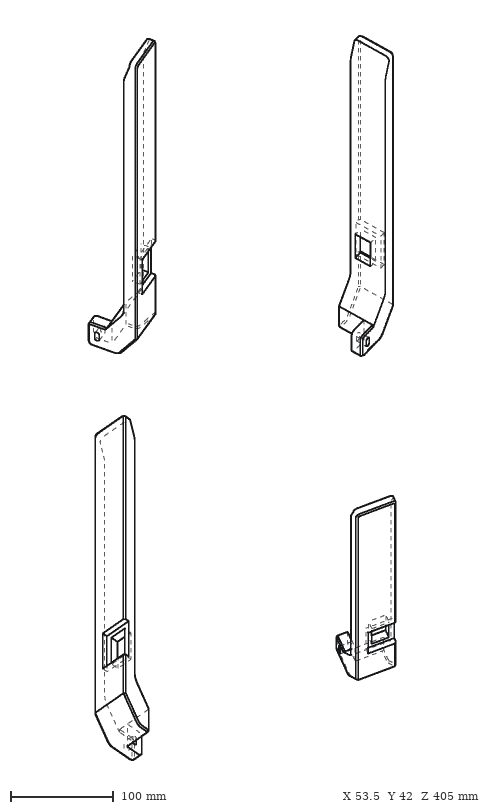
import cadquery as cq
import math

length_x = 53.5
width_y = 42.0
height_z = 405.0

plate_thickness = 14.0
tip_thickness = 8.0
taper_start_z = 380.3
tip_corner_radius = 5.0

foot_front_x = 20.2
foot_height = 30.5
crank_angle = 56.3
heel_z = 30.0
heel_radius = 9.0
bend_radius = 20.2

tab_width = 12.0
tab_corner_radius = 5.0
slot_center_x = 10.0
slot_center_z = 15.5
slot_width = 5.0
slot_length = 11.5

window_min_y = 18.2
window_width = 18.2
window_min_z = 88.3
window_height = 35.2

web_thickness = 8.5
recess_margin = 6.0

edge_chamfer = 1.5

plate_front_x = length_x - plate_thickness
tip_front_x = length_x - tip_thickness
taper_end_z = height_z - tip_corner_radius
crank_slope = math.tan(math.radians(crank_angle))
bend_z = foot_height + (plate_front_x - foot_front_x) * crank_slope
heel_bottom_x = length_x - heel_z / crank_slope


def edge_at(x, z):
    """Select the Y-direction edge that passes near (x, z)."""
    reach = 0.5
    return cq.selectors.BoxSelector((x - reach, -4, z - reach), (x + reach, width_y + 4, z + reach))


def extrude_profile(points, depth):
    """Extrude an XZ outline from y = 0 toward +Y."""
    return cq.Workplane("XZ").polyline(points).close().extrude(-depth)


def make_lever():
    """Plate and cranked foot, with rounded bends and tip corners."""
    outline = [
        (foot_front_x, 0),
        (heel_bottom_x, 0),
        (length_x, heel_z),
        (length_x, height_z),
        (tip_front_x, height_z),
        (tip_front_x, taper_end_z),
        (plate_front_x, taper_start_z),
        (plate_front_x, bend_z),
        (foot_front_x, foot_height),
    ]
    lever = extrude_profile(outline, width_y)
    for bend in ((plate_front_x, taper_start_z), (plate_front_x, bend_z)):
        lever = lever.edges(edge_at(*bend)).fillet(bend_radius)
    lever = lever.edges(edge_at(heel_bottom_x, 0)).fillet(heel_radius)
    return lever.faces(">Z").edges("|X").fillet(tip_corner_radius)


def make_tab():
    """Tab with rounded free corners, running into the foot."""
    tab = cq.Workplane("XY").box(foot_front_x, tab_width, foot_height, centered=False)
    return tab.edges("|Y and <X").fillet(tab_corner_radius)


def chamfer_outer_edges(body):
    """Bevel both side rims along the back, heel and underside, and on around the tab."""
    back_rim = body.faces(">X").edges("not |Y")
    rim = back_rim.add(body.faces("<Z").edges("<Y or >Y"))
    return rim.chamfer(edge_chamfer)


def make_slot():
    slot = cq.Workplane("XZ").center(slot_center_x, slot_center_z)
    return slot.slot2D(slot_length, slot_width, 90).extrude(-tab_width)


def make_window():
    window = cq.Workplane("XY").box(length_x, window_width, window_height, centered=False)
    return window.translate((0, window_min_y, window_min_z))


def make_recess():
    """Pocket behind the window that leaves a thin web around the opening."""
    recess = cq.Workplane("XY").box(
        plate_thickness - web_thickness,
        width_y - window_min_y + recess_margin,
        window_height + 2 * recess_margin,
        centered=False,
    )
    return recess.translate(
        (plate_front_x + web_thickness, window_min_y - recess_margin, window_min_z - recess_margin)
    )


body = make_lever().union(make_tab())
body = chamfer_outer_edges(body)
result = body.cut(make_slot()).cut(make_window()).cut(make_recess())